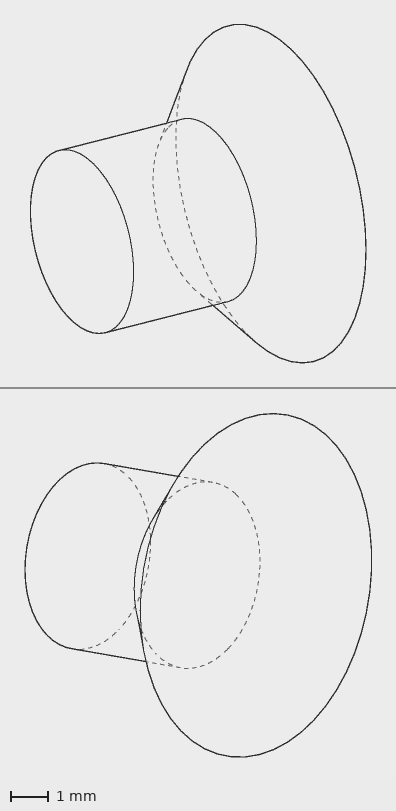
import cadquery as cq

head_diameter = 9.2
shank_diameter = 5.0
total_length = 6.0

head_radius = head_diameter / 2
shank_radius = shank_diameter / 2
head_depth = head_radius - shank_radius

shank_end_y = -total_length / 2
head_face_y = total_length / 2
head_start_y = head_face_y - head_depth

half_profile = (
    cq.Workplane("XY")
    .moveTo(0, shank_end_y)
    .lineTo(shank_radius, shank_end_y)
    .lineTo(shank_radius, head_start_y)
    .lineTo(head_radius, head_face_y)
    .lineTo(0, head_face_y)
    .close()
)

result = half_profile.revolve(360, (0, 0, 0), (0, 1, 0))